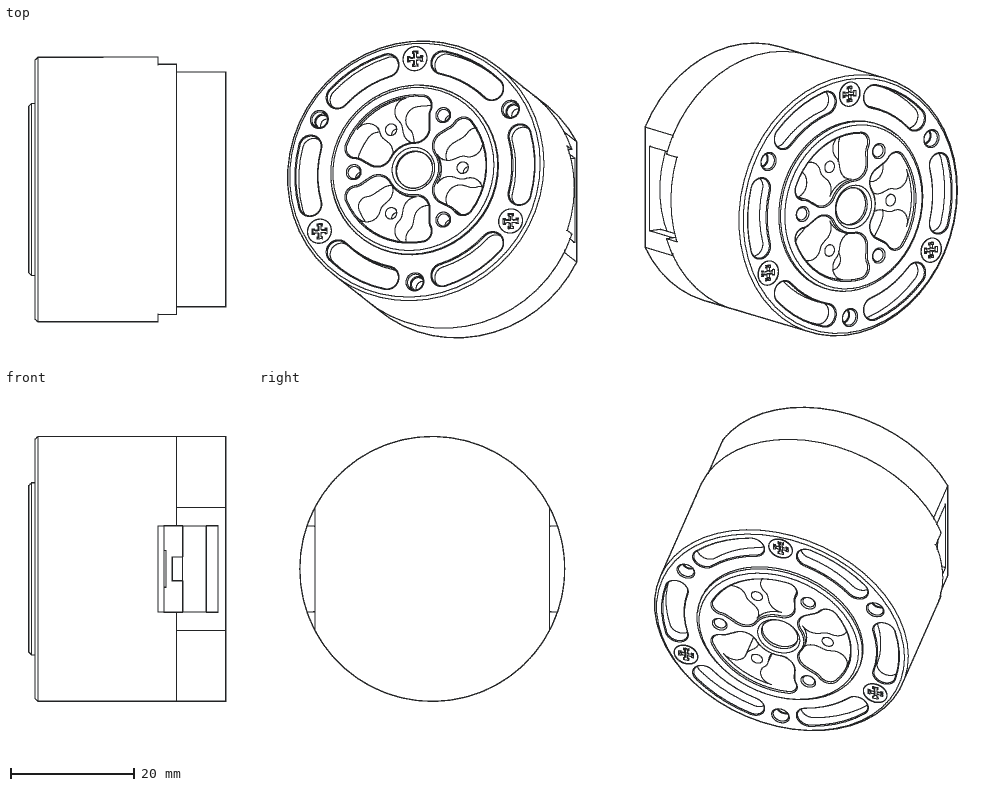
import cadquery as cq
import math


outer_radius = 21.5
total_length = 32.0

rotor_radius = 14.0
rotor_depth = 10.0
rotor_edge_chamfer = 0.5

housing_front = 1.0
housing_back = 22.0
housing_rim_end = 24.0
housing_edge_chamfer = 0.5

cavity_radius = 18.3
cover_flat_offset = 19.05
cover_wall = 1.3

window_half_height = 7.0
window_front = 21.0
window_recess_offset = 17.5
window_recess_fillet = 2.2

disc_front = 25.0
disc_thickness = 3.85
plug_side = 3.9
plug_length = 1.7

back_boss_radius = 3.0
back_boss_height = 0.3

bolt_circle_radius = 18.5
screw_angles = (90, 210, 330)
screw_head_radius = 2.0
screw_head_recess = 0.1
drive_arm_length = 1.25
drive_arm_width = 0.5
drive_tip_width = 0.9
drive_tip_length = 0.35
drive_depth = 0.8
mount_angles = (30, 150, 270)
mount_hole_radius = 1.1
mount_bore_radius = 1.3
mount_chamfer = 0.2
mount_bore_depth = 2.0
mount_hole_depth = 5.0
slot_count = 6
slot_radius = 18.2
slot_width = 3.6
slot_half_angle = 15.3
slot_depth = 2.0
slot_chamfer = 0.15

pocket_count = 3
pocket_depth = 1.0
pocket_outer_radius = 12.1
pocket_chamfer = 0.2
petal_half_angle = 30.0
petal_depth = 8.0
inner_lobe_x = 0.3
inner_lobe_y = 6.74
inner_lobe_radius = 2.3
spoke_lobe_radius = 1.6
spoke_boss_radius = 2.45
web_lobe_radius = 2.15
web_boss_radius = 1.9
web_hole_circle = 8.0
web_hole_radius = 0.95
web_hole_depth = 4.0
rotor_hole_circle = 10.0
rotor_hole_radius = 1.0
rotor_hole_depth = 5.0
rotor_hole_chamfer = 0.25
bore_radius = 3.07
bore_depth = 1.0
bore_chamfer = 0.5


def face_plane(x):
    return cq.Plane(origin=(x, 0, 0), xDir=(0, -1, 0), normal=(-1, 0, 0))


def cylinder(radius, start, end):
    return cq.Workplane(face_plane(start)).circle(radius).extrude(start - end)


def around(tool, angle):
    """Turn a tool about the X axis, counterclockwise on the front face."""
    return tool.rotate((0, 0, 0), (-1, 0, 0), angle)


def polar(radius, degrees):
    angle = math.radians(degrees)
    return (radius * math.cos(angle), radius * math.sin(angle))


def toward(start, end, distance):
    """Point at a distance from start on the line to end."""
    length = math.dist(start, end)
    return tuple(s + (e - s) * distance / length for s, e in zip(start, end))


def hole(radius, circle, start, depth, chamfer=0):
    """Round hole at angle 0 of its circle, with a conical mouth if chamfered."""
    tool = cq.Workplane(face_plane(start)).center(circle, 0).circle(radius).extrude(-depth)
    if chamfer:
        mouth = cq.Solid.makeCone(
            radius + chamfer, radius, chamfer, pnt=(start, -circle, 0), dir=(1, 0, 0)
        )
        tool = tool.union(cq.Workplane(mouth))
    return tool


def chamfer_openings(body, size):
    """Chamfer the rims of all openings in the front face."""
    rims = body.faces("<X").val().innerWires()
    return body.newObject([edge for rim in rims for edge in rim.Edges()]).chamfer(size)


def curved_slot():
    """Slot along an arc with full-round ends, centred on angle 0."""
    inner = slot_radius - slot_width / 2
    outer = slot_radius + slot_width / 2
    tip_angle = slot_half_angle + math.degrees(slot_width / 2 / slot_radius)
    return (
        cq.Workplane(face_plane(housing_front))
        .moveTo(*polar(inner, -slot_half_angle))
        .threePointArc((inner, 0), polar(inner, slot_half_angle))
        .threePointArc(polar(slot_radius, tip_angle), polar(outer, slot_half_angle))
        .threePointArc((outer, 0), polar(outer, -slot_half_angle))
        .threePointArc(polar(slot_radius, -tip_angle), polar(inner, -slot_half_angle))
        .close()
        .extrude(-slot_depth)
    )


def screw_head(angle):
    """Shallow round seat with an upright cross drive whose arms have wider tips."""
    plane = cq.Workplane(face_plane(housing_front)).center(*polar(bolt_circle_radius, angle))
    seat = plane.circle(screw_head_radius).extrude(-screw_head_recess)
    tip = drive_arm_length - drive_tip_length / 2
    across = plane.rect(2 * drive_arm_length, drive_arm_width).extrude(-drive_depth)
    upright = plane.rect(drive_arm_width, 2 * drive_arm_length).extrude(-drive_depth)
    cross = across.union(upright)
    for step in (-tip, tip):
        side_tip = plane.center(step, 0).rect(drive_tip_length, drive_tip_width).extrude(-drive_depth)
        end_tip = plane.center(0, step).rect(drive_tip_width, drive_tip_length).extrude(-drive_depth)
        cross = cross.union(side_tip).union(end_tip)
    return seat.union(cross)


def window_slot(start, end):
    """Straight slot along Y through both sides of the wall."""
    size = (end - start, 2 * outer_radius, 2 * window_half_height)
    return cq.Workplane("XY").box(*size, centered=(False, True, True)).translate((start, 0, 0))


def window_recess(side):
    """Recess in the housing back; its bottom meets the two ends in fillets."""
    size = (housing_back - window_front, outer_radius - window_recess_offset, 2 * window_half_height)
    middle = (outer_radius + window_recess_offset) / 2
    return (
        cq.Workplane("XY")
        .box(*size, centered=(False, True, True))
        .translate((window_front, side * middle, 0))
        .edges("|X")
        .edges("<Y" if side > 0 else ">Y")
        .fillet(window_recess_fillet)
    )


housing = cylinder(outer_radius, housing_front, housing_rim_end)
housing = housing.faces("<X").chamfer(housing_edge_chamfer)
housing = housing.cut(cylinder(cavity_radius, housing_back, housing_rim_end))
housing = housing.cut(window_slot(housing_back, housing_rim_end))
housing = housing.union(cylinder(back_boss_radius, housing_back, housing_back + back_boss_height))
for side in (-1, 1):
    housing = housing.cut(window_recess(side))
for index in range(slot_count):
    housing = housing.cut(around(curved_slot(), index * 360 / slot_count))
housing = chamfer_openings(housing, slot_chamfer)
housing = housing.cut(cylinder(rotor_radius, housing_front, rotor_depth))
for angle in mount_angles:
    bore = hole(mount_bore_radius, bolt_circle_radius, housing_front, mount_bore_depth, mount_chamfer)
    tip = hole(mount_hole_radius, bolt_circle_radius, housing_front, mount_hole_depth)
    housing = housing.cut(around(bore.union(tip), angle))
for angle in screw_angles:
    housing = housing.cut(screw_head(angle))


def circle_tangent(lobe, lobe_r, boss, boss_r, turn):
    """Ends of the straight line that touches a lobe and, on its far side, a boss."""
    heading = math.atan2(boss[1] - lobe[1], boss[0] - lobe[0])
    heading += turn * math.acos((lobe_r + boss_r) / math.dist(lobe, boss))
    step = (math.cos(heading), math.sin(heading))
    on_lobe = (lobe[0] + lobe_r * step[0], lobe[1] + lobe_r * step[1])
    on_boss = (boss[0] - boss_r * step[0], boss[1] - boss_r * step[1])
    return on_lobe, on_boss


def outer_lobe(lobe_r, boss_circle, boss_angle, boss_r, turn):
    """Centre of a lobe that touches the outer pocket circle from inside and a boss from outside."""
    reach = pocket_outer_radius - lobe_r
    to_boss = boss_r + lobe_r
    swing = math.acos((boss_circle**2 + reach**2 - to_boss**2) / (2 * boss_circle * reach))
    return polar(reach, boss_angle + turn * math.degrees(swing))


def arc_middle(centre, radius, start, end):
    """Middle of the shorter arc between two points of a circle."""
    chord_middle = ((start[0] + end[0]) / 2, (start[1] + end[1]) / 2)
    return toward(centre, chord_middle, radius)


def petal(depth):
    """Petal with its axis on angle 90, waisted between a spoke boss and a web boss."""
    spoke_angle = 90 - petal_half_angle
    web_angle = 90 + petal_half_angle
    spoke_boss = polar(rotor_hole_circle, spoke_angle)
    web_boss = polar(web_hole_circle, web_angle)
    inner = (inner_lobe_x, inner_lobe_y)
    spoke_lobe = outer_lobe(spoke_lobe_radius, rotor_hole_circle, spoke_angle, spoke_boss_radius, 1)
    web_lobe = outer_lobe(web_lobe_radius, web_hole_circle, web_angle, web_boss_radius, -1)

    spoke_line = circle_tangent(inner, inner_lobe_radius, spoke_boss, spoke_boss_radius, -1)
    spoke_waist_end = toward(spoke_boss, spoke_lobe, spoke_boss_radius)
    rim_start = toward((0, 0), spoke_lobe, pocket_outer_radius)
    rim_end = toward((0, 0), web_lobe, pocket_outer_radius)
    web_waist_start = toward(web_boss, web_lobe, web_boss_radius)
    web_line = circle_tangent(inner, inner_lobe_radius, web_boss, web_boss_radius, 1)
    return (
        cq.Workplane(face_plane(0))
        .moveTo(*spoke_line[0])
        .lineTo(*spoke_line[1])
        .threePointArc(
            arc_middle(spoke_boss, spoke_boss_radius, spoke_line[1], spoke_waist_end), spoke_waist_end)
        .threePointArc(
            arc_middle(spoke_lobe, spoke_lobe_radius, spoke_waist_end, rim_start), rim_start)
        .threePointArc((0, pocket_outer_radius), rim_end)
        .threePointArc(
            arc_middle(web_lobe, web_lobe_radius, rim_end, web_waist_start), web_waist_start)
        .threePointArc(
            arc_middle(web_boss, web_boss_radius, web_waist_start, web_line[1]), web_line[1])
        .lineTo(*web_line[0])
        .threePointArc(toward(inner, (0, 0), inner_lobe_radius), spoke_line[0])
        .close()
        .extrude(-depth)
    )


def petal_pair(depth):
    """Two mirrored petals on either side of angle 0."""
    lower = around(petal(depth), -90 - petal_half_angle)
    return lower, lower.mirror("XY")


def pocket():
    """Shallow pocket around a petal pair and the web between the petals."""
    inner_radius = math.hypot(inner_lobe_x, inner_lobe_y) - inner_lobe_radius
    half_angle = petal_half_angle + math.degrees(math.atan2(inner_lobe_x, inner_lobe_y))
    web = (
        cq.Workplane(face_plane(0))
        .moveTo(*polar(inner_radius, -half_angle))
        .threePointArc((inner_radius, 0), polar(inner_radius, half_angle))
        .lineTo(*polar(pocket_outer_radius, half_angle))
        .threePointArc((pocket_outer_radius, 0), polar(pocket_outer_radius, -half_angle))
        .close()
        .extrude(-pocket_depth)
    )
    lower, upper = petal_pair(pocket_depth)
    return web.union(upper).union(lower).clean()


rotor = cylinder(rotor_radius, 0, rotor_depth)
rotor = rotor.faces("<X").chamfer(rotor_edge_chamfer)
for index in range(pocket_count):
    rotor = rotor.cut(around(pocket(), index * 360 / pocket_count))
rotor = chamfer_openings(rotor, pocket_chamfer)
for index in range(pocket_count):
    angle = index * 360 / pocket_count
    for tool in petal_pair(petal_depth):
        tool = tool.intersect(cylinder(rotor_radius, pocket_depth, petal_depth))
        rotor = rotor.cut(around(tool, angle))
    rotor = rotor.cut(around(hole(web_hole_radius, web_hole_circle, pocket_depth, web_hole_depth), angle))
    rotor = rotor.cut(around(
        hole(rotor_hole_radius, rotor_hole_circle, 0, rotor_hole_depth, rotor_hole_chamfer), angle + 60))
rotor = rotor.cut(hole(bore_radius, 0, 0, bore_depth, bore_chamfer))


cover_inner_end = total_length - cover_wall
cover = cylinder(outer_radius, housing_rim_end, total_length)
cover = cover.intersect(
    cq.Workplane("XY").box(2 * total_length, 2 * cover_flat_offset, 2 * outer_radius)
)
cover = cover.cut(cylinder(cavity_radius, housing_rim_end, cover_inner_end))
cover = cover.cut(window_slot(housing_rim_end, cover_inner_end))


inner_disc = cylinder(cavity_radius, disc_front, disc_front + disc_thickness)
plug = cq.Workplane(face_plane(disc_front)).rect(plug_side, plug_side).extrude(plug_length)
inner_disc = inner_disc.union(plug)

result = cq.Compound.makeCompound([housing.val(), rotor.val(), cover.val(), inner_disc.val()])